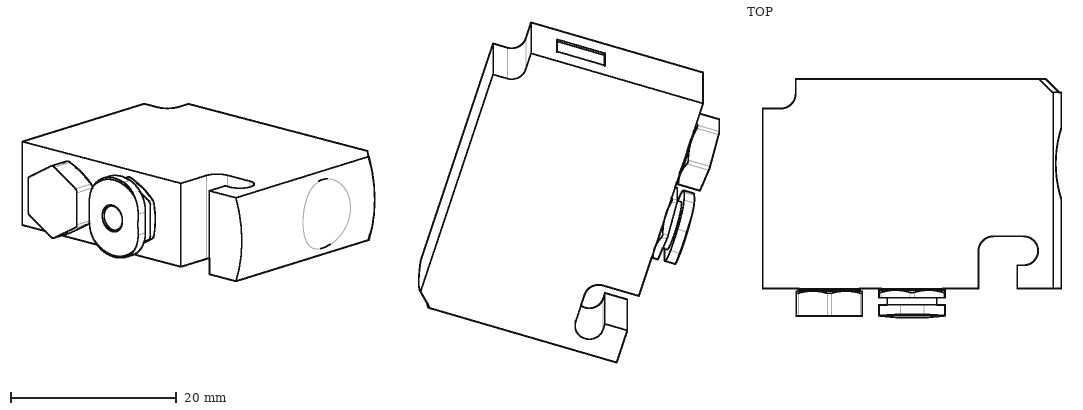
import cadquery as cq
import math

length = 36.0
depth = 25.3
height = 10.5
mid_z = height / 2
crown_rise = 0.97
flat_length = length - crown_rise

corner_radius = 1.75
notch_length = 3.95
notch_depth = 3.55
chamfer = 1.62
chamfer_rise = 0.83
chamfer_setback = 0.1

slot_left = 26.03
slot_right = 33.2
slot_depth = 6.3
hook_left = 30.67
hook_depth = 2.85
hook_radius = (slot_depth - hook_depth) / 2

hollow_width = 8.45
hollow_depth = 0.65
hollow_y = 15.1

recess_width = 6.05
recess_height = 4.1
recess_depth = 0.25
recess_y = 15.4

bolt_x = 8.03
terminal_x = 18.0
hex_flats = 8.0
hex_edge_radius = 0.5
hex_chamfer = 0.32
collar_diameter = 7.3
collar_height = 0.18
bolt_washer_diameter = 7.45
bolt_washer_top = 0.3
bolt_top = 3.3
nut_top = 1.1

neck_diameter = 6.0
knob_bottom = 1.95
knob_top = 28.8 - depth
knob_radius = 4.95
knob_corner_radius = 3.6
knob_rim_radius = 4.75
knob_rim_height = 3.2
knob_side_top = 3.1
bore_diameter = 3.0
bore_mouth_diameter = 3.3


def crown_segment(rise, x, y):
    """Wire of a full-height circular segment bulging toward +X from x."""
    return (
        cq.Workplane("XZ", origin=(x, y, 0))
        .moveTo(0, 0)
        .threePointArc((rise, mid_z), (0, height))
        .close()
        .wires()
        .val()
    )


def make_block():
    chamfer_x = flat_length - chamfer_setback
    chamfer_y = depth - chamfer
    outline = (
        cq.Workplane("XY")
        .lineTo(flat_length, 0)
        .lineTo(flat_length, chamfer_y)
        .lineTo(chamfer_x, chamfer_y)
        .lineTo(chamfer_x - chamfer, depth)
        .lineTo(notch_length, depth)
        .lineTo(notch_length, depth - notch_depth + corner_radius)
        .radiusArc((notch_length - corner_radius, depth - notch_depth), corner_radius)
        .lineTo(0, depth - notch_depth)
        .close()
    )
    block = outline.extrude(height)
    straight = cq.Vector(0, chamfer_y, 0)
    slant = cq.Vector(-chamfer, chamfer, 0)
    side = cq.Solid.extrudeLinear(crown_segment(crown_rise, flat_length, 0), [], straight)
    bevel = cq.Solid.extrudeLinear(crown_segment(chamfer_rise, chamfer_x, chamfer_y), [], slant)
    return block.union(cq.Workplane(side)).union(cq.Workplane(bevel))


def make_slot():
    hook_x = slot_right - hook_radius
    return (
        cq.Workplane("XY")
        .moveTo(slot_left, 0)
        .lineTo(slot_left, slot_depth - corner_radius)
        .radiusArc((slot_left + corner_radius, slot_depth), corner_radius)
        .lineTo(hook_x, slot_depth)
        .threePointArc((slot_right, slot_depth - hook_radius), (hook_x, hook_depth))
        .lineTo(hook_left, hook_depth)
        .lineTo(hook_left, 0)
        .close()
        .extrude(height)
    )


def make_hollow():
    radius = ((hollow_width / 2) ** 2 + hollow_depth ** 2) / (2 * hollow_depth)
    center_x = length - hollow_depth + radius
    return cq.Workplane("XY").center(center_x, hollow_y).circle(radius).extrude(height)


def make_recess():
    size = (2 * recess_depth, recess_width, recess_height)
    return cq.Workplane("XY").box(*size).translate((0, recess_y, mid_z))


def front_plane(x, distance=0.0):
    """Workplane parallel to the front face, facing out, at a distance in front of it."""
    return cq.Workplane("XZ", origin=(x, -distance, mid_z))


def revolve_profile(x, points):
    """Solid of revolution about the outward axis at x, from (radius, distance) points."""
    profile = cq.Workplane("XY").polyline(points).close()
    turned = profile.revolve(360, (0, 0, 0), (0, 1, 0))
    return turned.mirror("XZ").translate((x, 0, mid_z))


def make_hex_head(x, bottom, top):
    """Hexagon with rounded edges, its inner end coned, on a round collar at the block."""
    corner_diameter = hex_flats / math.cos(math.pi / 6)
    hexagon = (
        front_plane(x, bottom)
        .transformed(rotate=(0, 0, 90))
        .polygon(6, corner_diameter)
        .extrude(top - bottom)
        .edges("|Y")
        .fillet(hex_edge_radius)
    )
    inner_radius = hex_flats / 2
    outer_radius = corner_diameter / 2
    cone = revolve_profile(
        x,
        [
            (0, bottom),
            (inner_radius, bottom),
            (outer_radius, bottom + hex_chamfer),
            (outer_radius, top),
            (0, top),
        ],
    )
    collar = front_plane(x).circle(collar_diameter / 2).extrude(collar_height)
    return hexagon.intersect(cone).union(collar)


def make_bolt(x):
    """Hexagon head on a collar and a slightly wider washer."""
    washer_height = bolt_washer_top - collar_height
    washer = front_plane(x, collar_height).circle(bolt_washer_diameter / 2).extrude(washer_height)
    return make_hex_head(x, bolt_washer_top, bolt_top).union(washer)


def make_knob(x):
    """Two-flat knob on a round neck: end arcs blend into the flats through corner arcs."""
    half_width = hex_flats / 2
    corner_x = half_width - knob_corner_radius
    corner_offset = knob_radius - knob_corner_radius
    corner_z = math.sqrt(corner_offset ** 2 - corner_x ** 2)
    end_x = corner_x * knob_radius / corner_offset
    end_z = corner_z * knob_radius / corner_offset
    outline = (
        front_plane(x, knob_bottom)
        .moveTo(half_width, -corner_z)
        .lineTo(half_width, corner_z)
        .radiusArc((end_x, end_z), -knob_corner_radius)
        .radiusArc((-end_x, end_z), -knob_radius)
        .radiusArc((-half_width, corner_z), -knob_corner_radius)
        .lineTo(-half_width, -corner_z)
        .radiusArc((-end_x, -end_z), -knob_corner_radius)
        .radiusArc((end_x, -end_z), -knob_radius)
        .radiusArc((half_width, -corner_z), -knob_corner_radius)
        .close()
    )
    blank = outline.extrude(knob_top - knob_bottom)
    mouth_radius = bore_mouth_diameter / 2
    dome = revolve_profile(
        x,
        [
            (0, knob_bottom),
            (knob_radius, knob_bottom),
            (knob_radius, knob_side_top),
            (knob_rim_radius, knob_rim_height),
            (mouth_radius, knob_top),
            (0, knob_top),
        ],
    )
    neck = front_plane(x, nut_top).circle(neck_diameter / 2).extrude(knob_bottom - nut_top)
    return blank.intersect(dome).union(neck)


def make_bore(x):
    """Bore from the knob face down to the block, with a 45 degree countersink."""
    bore_radius = bore_diameter / 2
    mouth_radius = bore_mouth_diameter / 2
    sink_bottom = knob_top - (mouth_radius - bore_radius)
    points = [
        (0, 0),
        (bore_radius, 0),
        (bore_radius, sink_bottom),
        (mouth_radius, knob_top),
        (0, knob_top),
    ]
    return revolve_profile(x, points)


block = make_block().cut(make_slot()).cut(make_hollow()).cut(make_recess())
bolt = make_bolt(bolt_x)
nut = make_hex_head(terminal_x, collar_height, nut_top)
terminal = nut.union(make_knob(terminal_x)).cut(make_bore(terminal_x))
result = block.union(bolt).union(terminal)